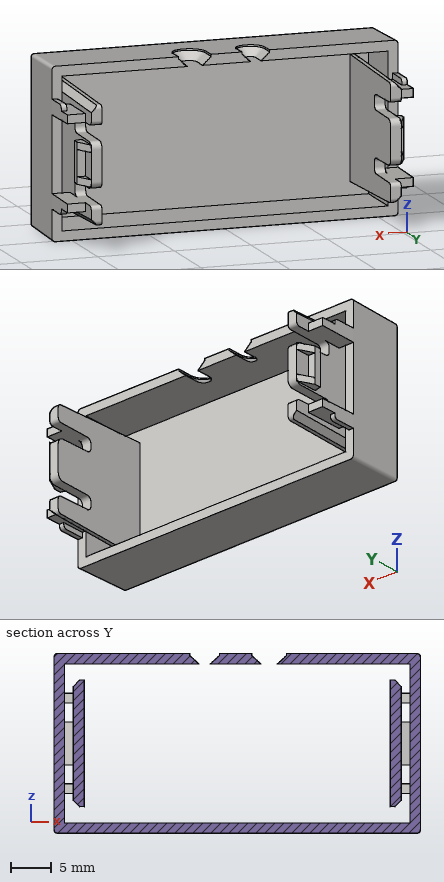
import cadquery as cq
import math

CAP_LENGTH = 45.2
CAP_HEIGHT = 22.2
CAP_DEPTH = 8.65
WALL = 1.3
CAP_DRAFT = 1.0
CAP_EDGE_RADIUS = 0.45

NOTCH_LAND = 0.25
SMALL_NOTCH = dict(x=-4.02, stop_depth=2.1, outer_radius=1.8, inner_radius=0.7)
LARGE_NOTCH = dict(x=3.95, stop_depth=2.15, outer_radius=2.12, inner_radius=1.0)

TOTAL_DEPTH = 16.6
ARM_REACH = TOTAL_DEPTH - CAP_DEPTH
PLATE_SETBACK = 2.35
PLATE_THICKNESS = 1.4
LEG_OUTER_Z = 7.8
LEG_INNER_Z = 4.95
TONGUE_HALF_WIDTH = 3.07
SLOT_FLOOR = 1.85
LEG_OUTER_DRAFT = 1.8
SLOT_DRAFT = 1.0
LEG_CHAMFER = 0.8
LEG_TIP_RADIUS = 0.55
TONGUE_TIP_RADIUS = 0.9
SLOT_RADIUS = 0.7

RIB_REACH = 5.75
RIB_TOP_Z = 6.2
LIP_REACH = 3.5
LIP_TOP_Z = 6.95
LIP_THICKNESS = 0.72
LIP_RADIUS = 0.55

CATCH_HEIGHT = 1.1
CATCH_HALF_WIDTH = 2.65
BAR_LENGTH = 1.0
BAR_UNDERCUT = 0.25
GUSSET_THICKNESS = 0.95

PLATE_OUTER_X = CAP_LENGTH / 2 - PLATE_SETBACK


def drafted(root_z, draft, y):
    """Height at depth y of a face that is at root_z on the cap back and drops with +Y."""
    return root_z - y * math.tan(math.radians(draft))


def extrude_x(points, x_start, x_end):
    """Prism along X from a closed outline of (y, z) points."""
    return cq.Workplane("YZ", origin=(x_start, 0, 0)).polyline(points).close().extrude(x_end - x_start)


def mirror_z(solid):
    return solid.union(solid.mirror("XY"))


def make_cap():
    outside = cq.Workplane("XZ").rect(CAP_LENGTH, CAP_HEIGHT).extrude(CAP_DEPTH, taper=CAP_DRAFT)
    outside = outside.edges("not >Y").fillet(CAP_EDGE_RADIUS)
    cavity = cq.Workplane("XZ").rect(CAP_LENGTH - 2 * WALL, CAP_HEIGHT - 2 * WALL).extrude(CAP_DEPTH - WALL)
    return outside.cut(cavity)


def make_notch(x, stop_depth, outer_radius, inner_radius):
    """Open-backed slot: straight near the surface, then sloping in to the cavity."""
    top_z = CAP_HEIGHT / 2
    land_z = top_z - NOTCH_LAND
    inside_z = top_z - WALL
    section = [
        (x - outer_radius, top_z),
        (x + outer_radius, top_z),
        (x + outer_radius, land_z),
        (x + inner_radius, inside_z),
        (x - inner_radius, inside_z),
        (x - outer_radius, land_z),
    ]
    channel = cq.Workplane("XZ").polyline(section).close().extrude(stop_depth)
    half_section = [
        (0, top_z),
        (outer_radius, top_z),
        (outer_radius, land_z),
        (inner_radius, inside_z),
        (0, inside_z),
    ]
    round_end = (
        cq.Workplane("XZ", origin=(x, -stop_depth, 0))
        .polyline(half_section)
        .close()
        .revolve(360, (0, 0), (0, 1))
    )
    return channel.union(round_end)


def make_plate():
    """Right-hand arm plate, rooted on the inside of the cap front."""
    root_y = WALL - CAP_DEPTH
    upper_half = [
        (root_y, drafted(LEG_OUTER_Z, LEG_OUTER_DRAFT, root_y)),
        (ARM_REACH, drafted(LEG_OUTER_Z, LEG_OUTER_DRAFT, ARM_REACH)),
        (ARM_REACH, drafted(LEG_INNER_Z, -SLOT_DRAFT, ARM_REACH)),
        (SLOT_FLOOR, drafted(LEG_INNER_Z, -SLOT_DRAFT, SLOT_FLOOR)),
        (SLOT_FLOOR, drafted(TONGUE_HALF_WIDTH, SLOT_DRAFT, SLOT_FLOOR)),
        (ARM_REACH, drafted(TONGUE_HALF_WIDTH, SLOT_DRAFT, ARM_REACH)),
    ]
    lower_half = [(y, -z) for y, z in reversed(upper_half)]
    plate = extrude_x(upper_half + lower_half, PLATE_OUTER_X - PLATE_THICKNESS, PLATE_OUTER_X)
    for leg_side in (">Z", "<Z"):
        plate = plate.faces(leg_side).edges(">X").chamfer(LEG_CHAMFER)
    slot_middle_z = (LEG_INNER_Z + TONGUE_HALF_WIDTH) / 2
    tongue_zone = cq.selectors.BoxSelector((0, 0, -slot_middle_z), (CAP_LENGTH, TOTAL_DEPTH, slot_middle_z))
    plate = plate.faces(">Y").edges("|X").edges(tongue_zone).fillet(TONGUE_TIP_RADIUS)
    leg_tips = plate.faces(">Y").faces(">Z or <Z")
    plate = leg_tips.edges("|X").fillet(LEG_TIP_RADIUS)
    slot_floor_zone = cq.selectors.BoxSelector(
        (0, SLOT_FLOOR - SLOT_RADIUS, -LEG_OUTER_Z), (CAP_LENGTH, SLOT_FLOOR + SLOT_RADIUS, LEG_OUTER_Z)
    )
    return plate.edges("|X").edges(slot_floor_zone).fillet(SLOT_RADIUS)


def make_ribs():
    end_x = CAP_LENGTH / 2
    rib_outline = [
        (0, LEG_INNER_Z),
        (RIB_REACH, drafted(LEG_INNER_Z, -SLOT_DRAFT, RIB_REACH)),
        (RIB_REACH, RIB_TOP_Z),
        (0, RIB_TOP_Z),
    ]
    rib = extrude_x(rib_outline, PLATE_OUTER_X, end_x)
    lip_outline = [(0, RIB_TOP_Z), (LIP_REACH, RIB_TOP_Z), (LIP_REACH, LIP_TOP_Z), (0, LIP_TOP_Z)]
    lip = extrude_x(lip_outline, end_x - LIP_THICKNESS, end_x)
    lip = lip.edges(">Y and >Z").fillet(LIP_RADIUS)
    return mirror_z(rib.union(lip))


def make_catch():
    crest_x = PLATE_OUTER_X + CATCH_HEIGHT
    bar_foot_y = RIB_REACH - BAR_LENGTH
    bar = (
        cq.Workplane("XY", origin=(0, 0, -CATCH_HALF_WIDTH))
        .polyline([
            (PLATE_OUTER_X, bar_foot_y - BAR_UNDERCUT),
            (crest_x, bar_foot_y),
            (crest_x, RIB_REACH),
            (PLATE_OUTER_X, RIB_REACH),
        ])
        .close()
        .extrude(2 * CATCH_HALF_WIDTH)
    )
    gusset = (
        cq.Workplane("XY", origin=(0, 0, CATCH_HALF_WIDTH - GUSSET_THICKNESS))
        .polyline([(PLATE_OUTER_X, RIB_REACH), (crest_x, RIB_REACH), (PLATE_OUTER_X, ARM_REACH)])
        .close()
        .extrude(GUSSET_THICKNESS)
    )
    return bar.union(mirror_z(gusset))


arm = make_plate().union(make_ribs()).union(make_catch())
result = make_cap()
for notch in (SMALL_NOTCH, LARGE_NOTCH):
    result = result.cut(make_notch(**notch))
result = result.union(arm).union(arm.mirror("YZ"))